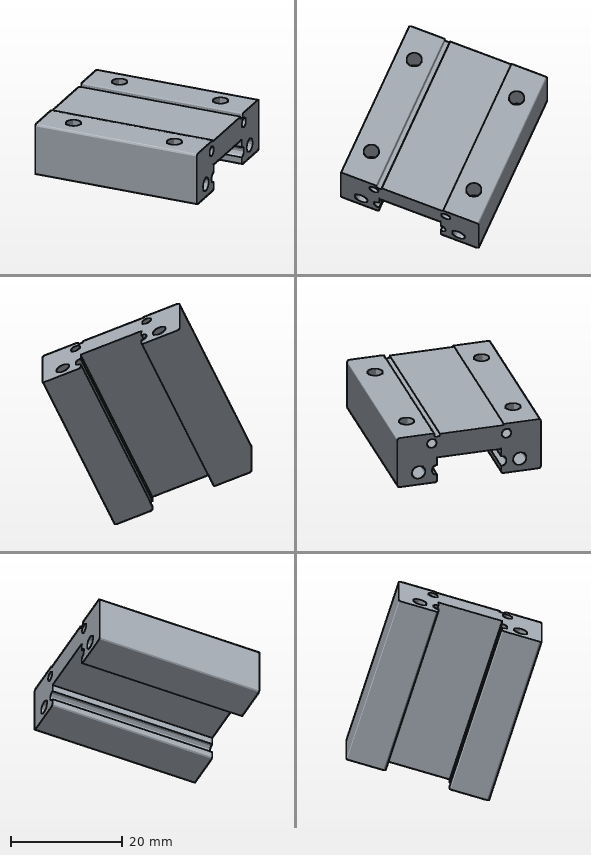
import cadquery as cq

length = 32.0
width = 27.0
height = 10.0
corner_radius = 0.5

channel_width = 12.0
channel_height = height / 2
track_radius = 1.0
track_z = height / 4

recess_depth = 0.25
recess_half_width = 6.5
groove_width = 1.0
groove_depth = 0.75
edge_radius = recess_depth

return_diameter = 2.5
return_y = 9.5

mount_diameter = 2.75
mount_spacing = 20.0
mount_depth = height / 2

cap_diameter = 1.75
cap_y = 7.0
cap_z = 8.0
cap_depth = height / 2


def bar_along_x(y_min, y_max, z_min, z_max):
    """Rectangular bar over the full length, between the given Y and Z limits."""
    bar = cq.Workplane("XY").box(length, y_max - y_min, z_max - z_min)
    return bar.translate((0, (y_min + y_max) / 2, (z_min + z_max) / 2))


def rods_along_x(diameter, y, z, x_start, rod_length):
    """Pair of rods at +/-y, running toward +X from x_start."""
    plane = cq.Workplane("YZ", origin=(x_start, 0, 0))
    return plane.pushPoints([(y, z), (-y, z)]).circle(diameter / 2).extrude(rod_length)


def rail_channel():
    channel = bar_along_x(-channel_width / 2, channel_width / 2, 0, channel_height)
    tracks = rods_along_x(2 * track_radius, channel_width / 2, track_z, -length / 2, length)
    return channel.union(tracks)


def top_recess():
    """Recess and groove as one cutter, drawn from the -Y step to the +Y lip of the groove."""
    recess_z = height - recess_depth
    groove_z = height - groove_depth
    groove_inner_y = recess_half_width - groove_width
    r = edge_radius
    outline = (
        cq.Workplane("YZ", origin=(-length / 2, 0, 0))
        .moveTo(-recess_half_width, height)
        .radiusArc((-recess_half_width + r, recess_z), -r)
        .lineTo(groove_inner_y, recess_z)
        .lineTo(groove_inner_y, groove_z + r)
        .radiusArc((groove_inner_y + r, groove_z), -r)
        .lineTo(recess_half_width - r, groove_z)
        .radiusArc((recess_half_width, groove_z + r), -r)
        .lineTo(recess_half_width, recess_z)
        .radiusArc((recess_half_width + r, height), r)
        .close()
    )
    return outline.extrude(length)


def mounting_holes():
    plane = cq.Workplane("XY", origin=(0, 0, height - mount_depth))
    positions = plane.rect(mount_spacing, mount_spacing, forConstruction=True).vertices()
    return positions.circle(mount_diameter / 2).extrude(mount_depth)


block = bar_along_x(-width / 2, width / 2, 0, height).edges("|X").fillet(corner_radius)
block = block.cut(rail_channel())

mouth_half_width = channel_width / 2 + corner_radius / 2
mouth = cq.selectors.BoxSelector(
    (-length, -mouth_half_width, -corner_radius / 2),
    (length, mouth_half_width, corner_radius / 2),
)
block = block.edges("|X").edges(mouth).fillet(corner_radius)

block = block.cut(top_recess())
block = block.cut(mounting_holes())
block = block.cut(rods_along_x(return_diameter, return_y, track_z, -length / 2, length))
for x_start in (-length / 2, length / 2 - cap_depth):
    block = block.cut(rods_along_x(cap_diameter, cap_y, cap_z, x_start, cap_depth))

result = block